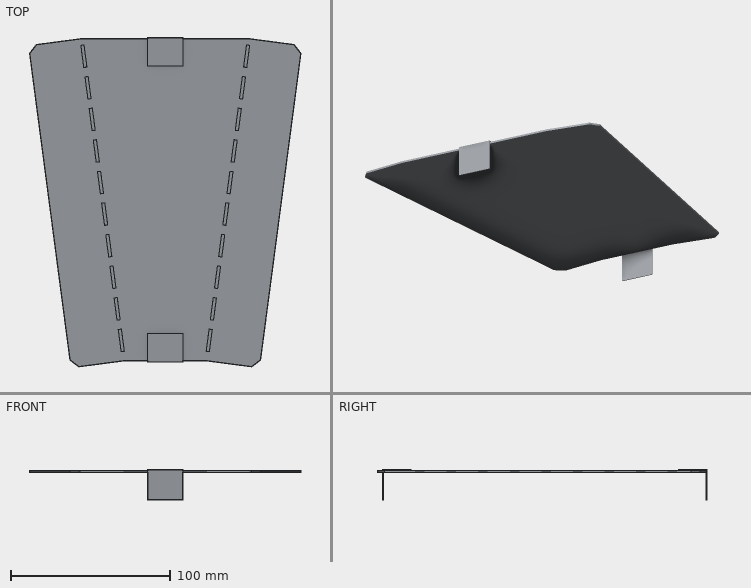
import cadquery as cq
import math

OVERALL_WIDTH = 170.42
OVERALL_LENGTH = 206.8

PLATE_THICKNESS = 1.2
FOLD_ANGLE = 7.5
PANEL_HALF_WIDTH = 52.56
CORNER_CHAMFER = 5.0

DASH_COUNT = 10
DASH_LENGTH = 14.0
DASH_WIDTH = 2.0
DASH_HEIGHT = 0.1
DASH_PITCH = 20.0
DASH_END_MARGIN = 4.14

CLIP_THICKNESS = 0.7
CLIP_WIDTH = 22.0
CLIP_DEPTH = 17.9
CLIP_HEIGHT = 19.03

SIN = math.sin(math.radians(FOLD_ANGLE))
COS = math.cos(math.radians(FOLD_ANGLE))

FLAP_WIDTH = (OVERALL_WIDTH / 2 + CORNER_CHAMFER * SIN - PANEL_HALF_WIDTH) / COS
FLAP_TIP_DROP = (FLAP_WIDTH - CORNER_CHAMFER) * SIN
PANEL_LENGTH = OVERALL_LENGTH - CLIP_THICKNESS - FLAP_TIP_DROP
FOLD_LENGTH = PANEL_LENGTH / COS
FOLD_MID_X = PANEL_HALF_WIDTH - FOLD_LENGTH * SIN / 2


def flap_point(outward, along):
    """Point on the +X flap, from the middle of its fold line: across it and along it (towards +Y)."""
    x = FOLD_MID_X + outward * COS + along * SIN
    y = along * COS - outward * SIN
    return (x, y)


def mirrored(point):
    return (-point[0], point[1])


def make_blank():
    """Flat plate outline: middle panel and both flaps, with chamfered outer corners."""
    half_fold = FOLD_LENGTH / 2
    right_side = [
        flap_point(0, half_fold),
        flap_point(FLAP_WIDTH - CORNER_CHAMFER, half_fold),
        flap_point(FLAP_WIDTH, half_fold - CORNER_CHAMFER),
        flap_point(FLAP_WIDTH, CORNER_CHAMFER - half_fold),
        flap_point(FLAP_WIDTH - CORNER_CHAMFER, -half_fold),
        flap_point(0, -half_fold),
    ]
    left_side = [mirrored(point) for point in reversed(right_side)]
    return cq.Workplane("XY").polyline(right_side + left_side).close().extrude(-PLATE_THICKNESS)


def make_dash(centre, tilt):
    """One raised dash, turned by tilt degrees from the Y axis and rooted in the plate."""
    return (
        cq.Workplane("XY")
        .box(DASH_WIDTH, DASH_LENGTH, PLATE_THICKNESS + DASH_HEIGHT, centered=(True, True, False))
        .rotate((0, 0, 0), (0, 0, 1), tilt)
        .translate((*centre, -PLATE_THICKNESS))
    )


def make_plate():
    plate = make_blank()
    first_dash = FOLD_LENGTH / 2 - DASH_END_MARGIN - DASH_LENGTH / 2
    for i in range(DASH_COUNT):
        centre = flap_point(0, first_dash - i * DASH_PITCH)
        plate = plate.union(make_dash(centre, -FOLD_ANGLE))
        plate = plate.union(make_dash(mirrored(centre), FOLD_ANGLE))
    return plate.solids()


def make_clip(end):
    """Clip over the +Y end (end = 1) or the -Y end (end = -1) of the plate."""
    edge = PANEL_LENGTH / 2
    outer = edge + CLIP_THICKNESS
    inner = outer - CLIP_DEPTH
    bottom = CLIP_THICKNESS - CLIP_HEIGHT
    section = [
        (end * inner, 0),
        (end * edge, 0),
        (end * edge, bottom),
        (end * outer, bottom),
        (end * outer, CLIP_THICKNESS),
        (end * inner, CLIP_THICKNESS),
    ]
    return cq.Workplane("YZ").polyline(section).close().extrude(CLIP_WIDTH / 2, both=True)


plate = make_plate()
clips = [make_clip(end) for end in (1, -1)]

result = cq.Compound.makeCompound([plate.val(), *[clip.val() for clip in clips]])